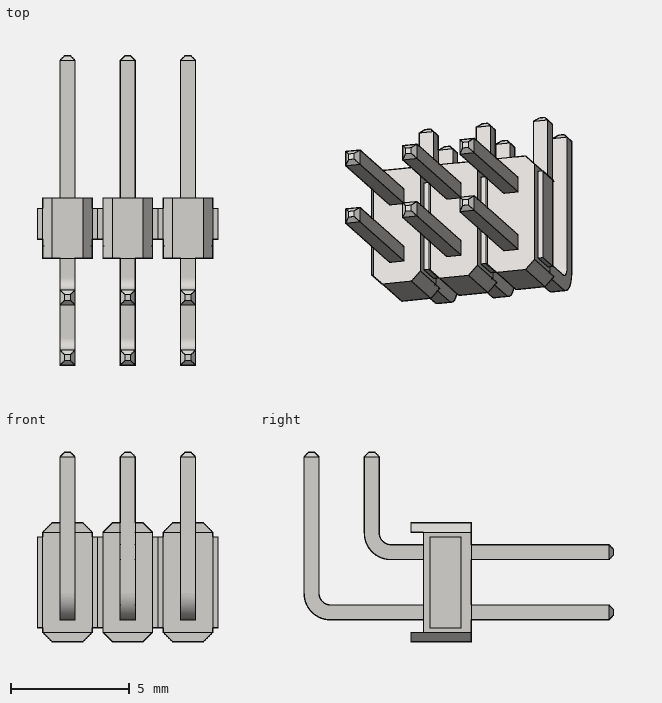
import cadquery as cq


module_count = 3
row_length = 7.62
total_depth = 13.04
total_height = 8.0
pitch = row_length / module_count

block_width = 2.1
block_height = 5.02
block_depth = 2.02
cap_depth = 2.55
cap_chamfer = 0.4
block_rear_y = 7.05

web_height = 3.83
web_depth = 1.3
web_rear_setback = 0.44

pin_size = 0.64
bend_inner_radius = 0.48
bend_outer_radius = bend_inner_radius + pin_size
tip_chamfer = 0.2
lower_pin_z = (block_height - pitch) / 2


def make_block():
    """Octagonal bar with its front cut back between the two caps, centred on X = 0."""
    bar = (
        cq.Workplane("XY")
        .box(block_width, cap_depth, block_height, centered=(True, False, False))
        .edges("|Y")
        .chamfer(cap_chamfer)
        .translate((0, block_rear_y - cap_depth, 0))
    )
    front_recess = (
        cq.Workplane("XY")
        .box(
            block_width,
            cap_depth - block_depth,
            block_height - 2 * cap_chamfer,
            centered=(True, False, False),
        )
        .translate((0, block_rear_y - cap_depth, cap_chamfer))
    )
    return bar.cut(front_recess)


def make_web():
    """Plate one pitch wide, centred on the height of the block."""
    return (
        cq.Workplane("XY")
        .box(pitch, web_depth, web_height, centered=(True, False, False))
        .translate((
            0,
            block_rear_y - web_rear_setback - web_depth,
            (block_height - web_height) / 2,
        ))
    )


def make_pin(front_y, center_z):
    """Pin with a horizontal leg to the rear, a bend at front_y and an upright leg."""
    bottom_z = center_z - pin_size / 2
    top_of_leg_z = bottom_z + pin_size
    back_of_upright_y = front_y + pin_size
    elbow = (
        cq.Workplane("YZ")
        .moveTo(total_depth, bottom_z)
        .lineTo(front_y, bottom_z)
        .lineTo(front_y, total_height)
        .lineTo(back_of_upright_y, total_height)
        .lineTo(back_of_upright_y, top_of_leg_z)
        .lineTo(total_depth, top_of_leg_z)
        .close()
        .extrude(pin_size / 2, both=True)
    )
    outer_corner = cq.selectors.NearestToPointSelector((0, front_y, bottom_z))
    inner_corner = cq.selectors.NearestToPointSelector((0, back_of_upright_y, top_of_leg_z))
    bent = (
        elbow
        .edges("|X").edges(outer_corner).fillet(bend_outer_radius)
        .edges("|X").edges(inner_corner).fillet(bend_inner_radius)
    )
    return bent.faces(">Y").chamfer(tip_chamfer).faces(">Z").chamfer(tip_chamfer)


def make_module():
    """One column of the header as a single solid, centred on X = 0."""
    lower_pin = make_pin(0, lower_pin_z)
    upper_pin = make_pin(pitch, lower_pin_z + pitch)
    return make_block().union(make_web()).union(lower_pin).union(upper_pin)


header_module = make_module().solids().val()
modules = [
    header_module.translate(cq.Vector((index + 0.5) * pitch, 0, 0))
    for index in range(module_count)
]

result = cq.Compound.makeCompound(modules)